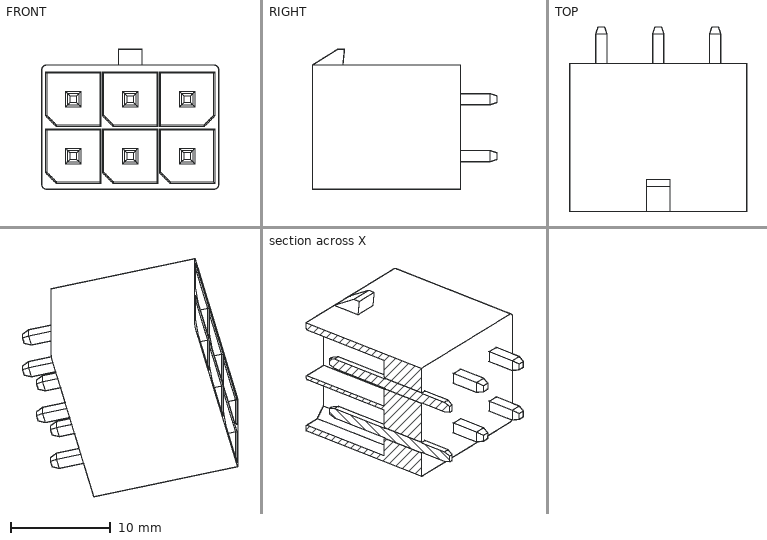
import cadquery as cq

columns = 3
rows = 2
pitch = 5.7

housing_width = 17.75
housing_height = 12.45
housing_depth = 14.85
grid_to_top = 6.28
edge_radius = 0.5
housing_top = grid_to_top
housing_middle = housing_top - housing_height / 2

cavity_width = 5.32
cavity_height = 5.2
cavity_depth = 10.0
cavity_key = 1.0
mouth_chamfer = 0.13

pin_width = 1.14
pin_tip_width = 0.68
pin_taper = 0.7
tail_length = 3.65
contact_length = 7.0
pin_hole_chamfer = 0.2

latch_width = 2.38
latch_height = 1.58
latch_base_length = 3.07
latch_crest_back = 3.23
latch_crest_length = 0.7

positions = [
    (column, row, (column - (columns - 1) / 2) * pitch, (row - (rows - 1) / 2) * pitch)
    for column in range(columns)
    for row in range(rows)
]


def plane_at(x, y, z):
    """Plane facing the mating side (-Y), with local x along +X and local y along +Z."""
    return cq.Plane(origin=(x, y, z), xDir=(1, 0, 0), normal=(0, -1, 0))


def make_cavity(x, z, key_side):
    """Cavity with one lower corner cut off (key_side -1 left, +1 right) and a flared mouth."""
    half_width = cavity_width / 2
    half_height = cavity_height / 2
    outline = [
        (-key_side * half_width, half_height),
        (-key_side * half_width, -half_height),
        (key_side * (half_width - cavity_key), -half_height),
        (key_side * half_width, -half_height + cavity_key),
        (key_side * half_width, half_height),
    ]
    bore = cq.Workplane(plane_at(x, cavity_depth, z)).polyline(outline).close().extrude(cavity_depth)
    mouth = (
        cq.Workplane(plane_at(x, 0, z))
        .polyline(outline)
        .close()
        .offset2D(mouth_chamfer, "intersection")
        .extrude(-mouth_chamfer, taper=45)
    )
    return bore.union(mouth)


def make_pin_hole(x, z):
    """Square through hole behind a cavity, chamfered where it opens into the cavity floor."""
    hole = (
        cq.Workplane(plane_at(x, housing_depth, z))
        .rect(pin_width, pin_width)
        .extrude(housing_depth - cavity_depth)
    )
    mouth_width = pin_width + 2 * pin_hole_chamfer
    mouth = (
        cq.Workplane(plane_at(x, cavity_depth, z))
        .rect(mouth_width, mouth_width)
        .workplane(offset=-pin_hole_chamfer)
        .rect(pin_width, pin_width)
        .loft()
    )
    return hole.union(mouth)


def make_latch():
    """Ramp rising from the mating edge to a short flat crest with an undercut back."""
    crest = housing_top + latch_height
    profile = [
        (0, housing_top),
        (latch_crest_back - latch_crest_length, crest),
        (latch_crest_back, crest),
        (latch_base_length, housing_top),
    ]
    return cq.Workplane("YZ").polyline(profile).close().extrude(latch_width / 2, both=True)


def make_housing():
    body = (
        cq.Workplane(plane_at(0, housing_depth, housing_middle))
        .rect(housing_width, housing_height)
        .extrude(housing_depth)
        .edges("|Y")
        .fillet(edge_radius)
    )
    body = body.union(make_latch())
    for column, row, x, z in positions:
        is_top_right = column == columns - 1 and row == rows - 1
        key_side = 1 if is_top_right else -1
        body = body.cut(make_cavity(x, z, key_side))
        body = body.cut(make_pin_hole(x, z))
    return body


def make_pin(x, z):
    """Straight square pin running from inside the cavity out through the rear face."""
    front_end = cavity_depth - contact_length
    rear_end = housing_depth + tail_length
    shaft_length = rear_end - front_end - 2 * pin_taper
    shaft = (
        cq.Workplane(plane_at(x, rear_end - pin_taper, z))
        .rect(pin_width, pin_width)
        .extrude(shaft_length)
    )
    pin = shaft
    for end in ("<Y", ">Y"):
        tip = (
            shaft.faces(end)
            .workplane()
            .rect(pin_width, pin_width)
            .workplane(offset=pin_taper)
            .rect(pin_tip_width, pin_tip_width)
            .loft(combine=False)
        )
        pin = pin.union(tip)
    return pin


housing = make_housing()
pins = [make_pin(x, z) for column, row, x, z in positions]

result = cq.Compound.makeCompound([housing.val(), *[pin.val() for pin in pins]])